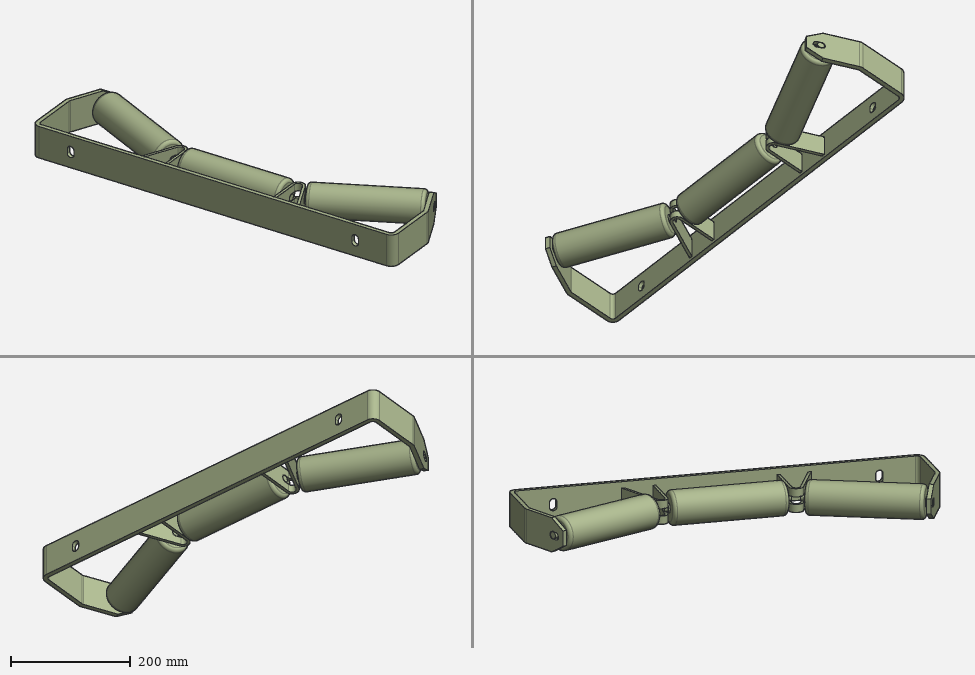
import cadquery as cq
import math


frame_length = 720.0
frame_depth = 192.0
strap_width = 60.0
strap_thickness = 8.0
bend_radius = 14.5
arm_angle = math.radians(25)
arm_bend_y = 105.0
tip_taper_length = 29.0
tip_width = 27.0
mount_slot_x = 283.0

slot_length = 21.0
slot_width = 13.0
cutter_reach = 14.5
arm_slot_to_tip = 22.0
seat_to_tip = 25.0

bracket_thickness = 5.0
bracket_bend_radius = 12.0
bracket_width = 42.0
bracket_z = -2.0
bracket_slot_length = 57.5

roller_diameter = 60.0
roller_length = 201.5
roller_fillet = 6.5
roller_axis_y = 71.0
shaft_diameter = 17.0
plate_gap = 210.0
shoulder_clearance = 1.5
journal_diameter = 12.0
shaft_length = plate_gap - 2 * shoulder_clearance

sin_a = math.sin(arm_angle)
cos_a = math.cos(arm_angle)
tan_a = math.tan(arm_angle)

half_length = frame_length / 2
arm_length = (frame_depth - arm_bend_y) / cos_a


def on_arm(distance_to_tip):
    """Point on the outer face of the left arm."""
    distance = arm_length - distance_to_tip
    return (-half_length + distance * sin_a, arm_bend_y + distance * cos_a)


def along_side_axis(distance):
    """Point on the left roller axis, measured inward from the arm's outer face."""
    seat_x, seat_y = on_arm(seat_to_tip)
    return (seat_x + distance * cos_a, seat_y - distance * sin_a)


def prism(points, width, middle_z=0):
    """Polygon extruded along Z, centred on a height."""
    return cq.Workplane("XY", origin=(0, 0, middle_z - width / 2)).polyline(points).close().extrude(width)


def round_corners(body, corners, radius):
    """Fillet the upright edges that stand on the given corners."""
    for x, y in corners:
        body = body.edges(cq.NearestToPointSelector((x, y, 0))).fillet(radius)
    return body


def mirrored(points):
    """Points on the left half followed by their mirror images, in path order."""
    return points + [(-x, y) for x, y in reversed(points)]


def slot_cutter(center, normal, length, upright=False):
    """Slot through a plate, cut along a normal in the XY plane; it lies level unless upright."""
    nx, ny = normal
    plane = cq.Plane(origin=center, xDir=(-ny, nx, 0), normal=(nx, ny, 0))
    angle = 90 if upright else 0
    return cq.Workplane(plane).slot2D(length, slot_width, angle).extrude(cutter_reach, both=True)


def build_frame():
    """Strap bent into a shallow tray whose two arms lean inward."""
    inner_x = -half_length + strap_thickness
    outer_base = (-half_length, 0)
    outer_bend = (-half_length, arm_bend_y)
    outer_tip = on_arm(0)
    inner_tip = (outer_tip[0] + strap_thickness * cos_a, outer_tip[1] - strap_thickness * sin_a)
    inner_bend = (inner_x, arm_bend_y - strap_thickness * math.tan(arm_angle / 2))
    inner_base = (inner_x, strap_thickness)

    outer_path = mirrored([outer_tip, outer_bend, outer_base])
    inner_path = mirrored([inner_tip, inner_bend, inner_base])
    body = prism(outer_path + inner_path[::-1], strap_width)
    body = round_corners(body, mirrored([outer_bend, outer_base]), bend_radius)
    body = round_corners(body, mirrored([inner_bend, inner_base]), bend_radius - strap_thickness)

    arm_plane = cq.Plane(origin=(*outer_tip, 0), xDir=(sin_a, cos_a, 0), normal=(cos_a, -sin_a, 0))
    lower_taper = (
        cq.Workplane(arm_plane)
        .polyline([(0, -tip_width / 2), (0, -strap_width / 2), (-tip_taper_length, -strap_width / 2)])
        .close()
        .extrude(strap_thickness)
    )
    cutters = [
        lower_taper,
        lower_taper.mirror("XY"),
        slot_cutter((*on_arm(arm_slot_to_tip), 0), (cos_a, -sin_a), slot_length),
        slot_cutter((-mount_slot_x, 0, 0), (0, 1), slot_length, upright=True),
    ]
    for cutter in cutters:
        body = body.cut(cutter).cut(cutter.mirror("YZ"))
    return body


def bracket_outline(inset):
    """Feet and sharp apex of the left bracket, moved inward by an inset."""
    upright_x = -plate_gap / 2 - inset
    line_x, line_y = along_side_axis(strap_thickness + plate_gap + inset)
    foot_x = line_x + (strap_thickness - line_y) * tan_a
    apex_y = line_y + (upright_x - line_x) / tan_a
    return [(foot_x, strap_thickness), (upright_x, apex_y), (upright_x, strap_thickness)]


def build_bracket():
    """Left bracket: a strip bent over at its apex, standing on the frame's base."""
    outer = bracket_outline(0)
    inner = bracket_outline(bracket_thickness)
    body = prism(outer + inner[::-1], bracket_width, bracket_z)
    body = round_corners(body, [outer[1]], bracket_bend_radius)
    body = round_corners(body, [inner[1]], bracket_bend_radius - bracket_thickness)

    seat_to_middle = (bracket_slot_length - slot_width) / 2
    slanted_x, slanted_y = along_side_axis(strap_thickness + plate_gap)
    slanted_middle = (slanted_x + seat_to_middle * sin_a, slanted_y + seat_to_middle * cos_a, bracket_z)
    upright_middle = (-plate_gap / 2, roller_axis_y + seat_to_middle, bracket_z)
    body = body.cut(slot_cutter(slanted_middle, (cos_a, -sin_a), bracket_slot_length))
    return body.cut(slot_cutter(upright_middle, (1, 0), bracket_slot_length))


def bar(diameter, start_x, end_x):
    """Cylinder on the X axis."""
    return cq.Workplane("YZ", origin=(start_x, 0, 0)).circle(diameter / 2).extrude(end_x - start_x)


def build_roller(left_plate, right_plate):
    """Roller along X, centred on the origin; its journals end flush with plates of two thicknesses."""
    drum = bar(roller_diameter, -roller_length / 2, roller_length / 2)
    drum = drum.edges("%CIRCLE").fillet(roller_fillet)
    shaft = bar(shaft_diameter, -shaft_length / 2, shaft_length / 2)
    journals = bar(journal_diameter, -plate_gap / 2 - left_plate, plate_gap / 2 + right_plate)
    return drum.union(shaft).union(journals)


def build_side_roller():
    """Left roller: it drops from the arm's seat to the lower seat in the bracket."""
    drop_angle = -math.degrees(math.asin(bracket_z / plate_gap))
    x, y = along_side_axis(strap_thickness + plate_gap / 2)
    roller = build_roller(strap_thickness, bracket_thickness)
    roller = roller.rotate((0, 0, 0), (0, 1, 0), drop_angle)
    roller = roller.rotate((0, 0, 0), (0, 0, 1), -math.degrees(arm_angle))
    return roller.translate((x, y, bracket_z / 2))


frame = build_frame()

left_bracket = build_bracket()
brackets = [left_bracket, left_bracket.mirror("YZ")]

middle_roller = build_roller(bracket_thickness, bracket_thickness).translate((0, roller_axis_y, bracket_z))
left_roller = build_side_roller()
rollers = [left_roller, middle_roller, left_roller.mirror("YZ")]

result = cq.Compound.makeCompound([body.val() for body in [frame, *brackets, *rollers]])